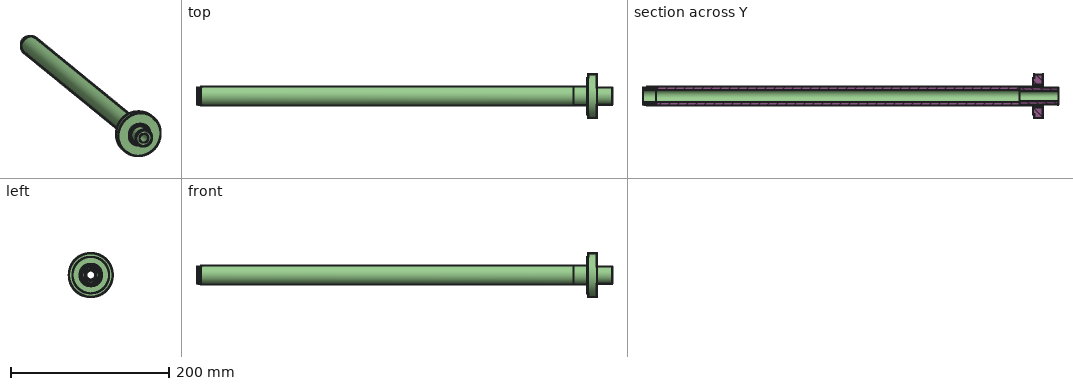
import cadquery as cq

total_length = 526.0

tube_start = 5.0
tube_radius = 12.0
tube_bore_radius = 7.5

collar_radius = 11.0
washer_thickness = 1.5
collar_length = tube_start - washer_thickness
collar_rim_length = 2.0
collar_rim_radius = 10.5
insert_radius = 9.0
insert_depth = 17.0

flange_start = 493.5
flange_step = 1.5
flange_end = 506.0
flange_radius = 28.0
flange_step_radius = 23.0
flange_hole_radius = 14.0

nipple_socket_depth = 17.0
nipple_radius = 11.0
nipple_bore_radius = 6.0
nipple_chamfer = 1.0
socket_start = flange_start - nipple_socket_depth


def cylinder(start, end, radius):
    return cq.Workplane("YZ", origin=(start, 0, 0)).circle(radius).extrude(end - start)


def sleeve(start, end, outer_radius, inner_radius):
    return cylinder(start, end, outer_radius).cut(cylinder(start, end, inner_radius))


def make_tube():
    tube = sleeve(tube_start, flange_end, tube_radius, tube_bore_radius)
    tube = tube.cut(cylinder(tube_start, insert_depth, insert_radius))
    return tube.cut(cylinder(socket_start, flange_end, nipple_radius))


def make_end_insert():
    rim = cylinder(0, collar_rim_length, collar_rim_radius)
    collar = cylinder(collar_rim_length, collar_length, collar_radius)
    plug = cylinder(collar_length, insert_depth, insert_radius)
    return rim.union(collar).union(plug).cut(cylinder(0, insert_depth, tube_bore_radius))


def make_end_washer():
    return sleeve(collar_length, tube_start, collar_radius, insert_radius)


def make_flange():
    step = cylinder(flange_start, flange_start + flange_step, flange_step_radius)
    disc = cylinder(flange_start + flange_step, flange_end, flange_radius)
    return step.union(disc).cut(cylinder(flange_start, flange_end, flange_hole_radius))


def make_flange_seal():
    return sleeve(flange_start, flange_end, flange_hole_radius, tube_radius)


def make_nipple():
    body = cylinder(socket_start, total_length, nipple_radius).faces(">X").chamfer(nipple_chamfer)
    return body.cut(cylinder(socket_start, total_length, nipple_bore_radius))


tube = make_tube()
end_insert = make_end_insert()
end_washer = make_end_washer()
flange = make_flange()
flange_seal = make_flange_seal()
nipple = make_nipple()

result = cq.Compound.makeCompound(
    [
        tube.val(),
        end_insert.val(),
        end_washer.val(),
        flange.val(),
        flange_seal.val(),
        nipple.val(),
    ]
)